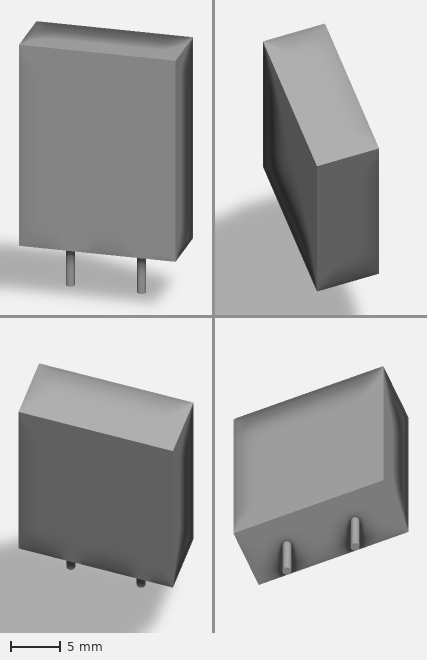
import cadquery as cq

HOUSING_WIDTH = 16.5
HOUSING_DEPTH = 6.7
OVERALL_HEIGHT = 27.1

PIN_DIAMETER = 0.9
PIN_LENGTH = 5.1
PIN_SPACING = 7.5

HOUSING_HEIGHT = OVERALL_HEIGHT - PIN_LENGTH


def make_housing():
    """Plain block, centred in X and Y, with its underside at Z = 0."""
    return cq.Workplane("XY").box(
        HOUSING_WIDTH, HOUSING_DEPTH, HOUSING_HEIGHT, centered=(True, True, False)
    )


def make_pin(center_x):
    """Straight pin that meets the underside of the housing and hangs down."""
    return cq.Workplane("XY").center(center_x, 0).circle(PIN_DIAMETER / 2).extrude(-PIN_LENGTH)


housing = make_housing()
pins = [make_pin(side * PIN_SPACING / 2) for side in (-1, 1)]

result = cq.Compound.makeCompound([housing.val(), *[pin.val() for pin in pins]])